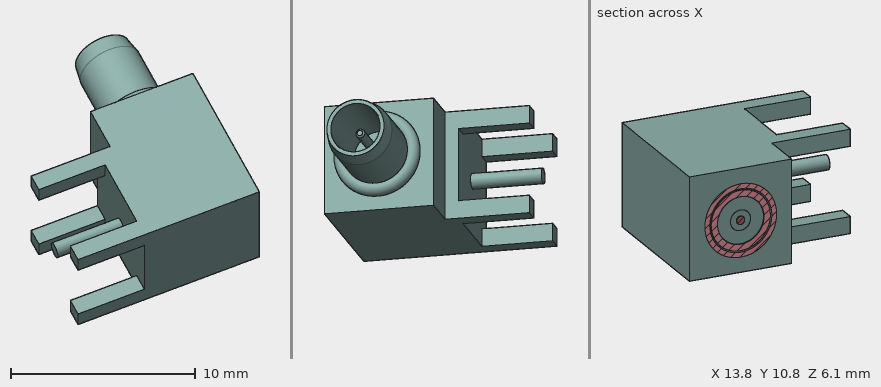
import cadquery as cq
import math


block_size = 6.1
half_block = block_size / 2
block_length = 8.64
block_front_x = half_block - block_length
foot_thickness = 0.75
foot_face_y = -half_block - foot_thickness
leg_width = 1.0
leg_length = 3.95
leg_end_y = foot_face_y - leg_length

barrel_length = 5.13
barrel_radius = 1.78
nose_length = 1.0
nose_tip_radius = 1.6
barrel_front_x = block_front_x - barrel_length
ring_section_radius = 0.4
ring_outer_radius = 2.4
ring_path_radius = ring_outer_radius - ring_section_radius
ring_center_x = block_front_x - ring_section_radius
ring_half_chord = math.sqrt(ring_section_radius**2 - (ring_path_radius - barrel_radius)**2)
bore_radius = 1.375
bore_floor_x = block_front_x

pin_radius = 0.25
pin_tip_radius = 0.15
pin_tip_length = 0.1
pin_recess = 0.98
pin_front_x = barrel_front_x + pin_recess
tail_radius = 0.43

insulator_radius = 0.6
insulator_length = -tail_radius - bore_floor_x


def x_cylinder(radius, start_x, length):
    """Cylinder on the barrel axis, running toward +X."""
    return cq.Workplane("YZ", origin=(start_x, 0, 0)).circle(radius).extrude(length)


def revolve_about_x(profile):
    """Turn a closed XY profile a full circle about the barrel axis."""
    return profile.close().revolve(360, (0, 0, 0), (1, 0, 0))


def make_contact():
    pin = revolve_about_x(
        cq.Workplane("XY")
        .moveTo(pin_front_x, 0)
        .lineTo(pin_front_x, pin_tip_radius)
        .lineTo(pin_front_x + pin_tip_length, pin_radius)
        .lineTo(0, pin_radius)
        .lineTo(0, 0)
    )
    tail_top_y = tail_radius
    tail = (
        cq.Workplane("XZ", origin=(0, tail_top_y, 0))
        .circle(tail_radius)
        .extrude(tail_top_y - leg_end_y)
    )
    return pin.union(tail)


def make_insulator(contact):
    return x_cylinder(insulator_radius, bore_floor_x, insulator_length).cut(contact)


def make_barrel():
    """Barrel and snap ring, turned as one profile."""
    return revolve_about_x(
        cq.Workplane("XY")
        .moveTo(barrel_front_x, 0)
        .lineTo(barrel_front_x, nose_tip_radius)
        .lineTo(barrel_front_x + nose_length, barrel_radius)
        .lineTo(ring_center_x - ring_half_chord, barrel_radius)
        .threePointArc(
            (ring_center_x, ring_outer_radius),
            (ring_center_x + ring_half_chord, barrel_radius),
        )
        .lineTo(block_front_x, barrel_radius)
        .lineTo(block_front_x, 0)
    )


def make_legs():
    """Four square legs standing on the corners of the foot."""
    spacing = block_size - leg_width
    return (
        cq.Workplane("XZ", origin=(0, foot_face_y, 0))
        .rect(spacing, spacing, forConstruction=True)
        .vertices()
        .rect(leg_width, leg_width)
        .extrude(leg_length)
    )


def make_housing(contact, insulator):
    block = cq.Workplane("XY").box(block_length, block_size, block_size)
    block = block.translate((half_block - block_length / 2, 0, 0))
    foot = cq.Workplane("XZ", origin=(0, -half_block, 0)).rect(block_size, block_size).extrude(foot_thickness)
    bore = x_cylinder(bore_radius, barrel_front_x, bore_floor_x - barrel_front_x)
    body = block.union(foot).union(make_legs()).union(make_barrel()).cut(bore)
    return body.cut(insulator).cut(contact)


contact = make_contact()
insulator = make_insulator(contact)
housing = make_housing(contact, insulator)

result = cq.Compound.makeCompound([housing.val(), insulator.val(), contact.val()])